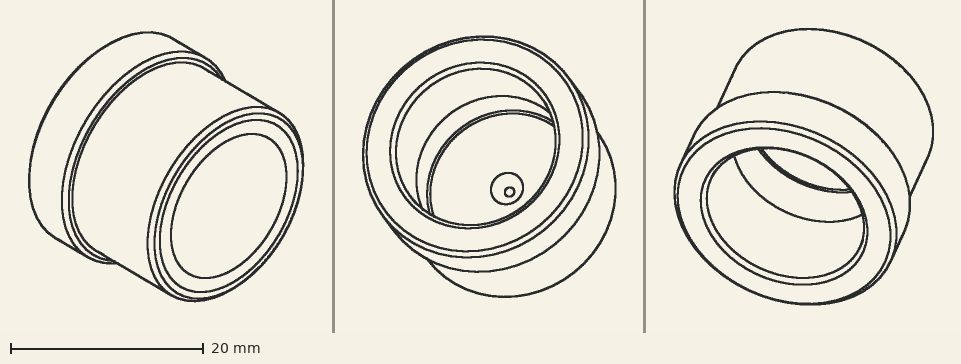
import cadquery as cq

total_length = 18.0
flange_radius = 12.0
flange_length = 6.0
spigot_radius = 11.0
edge_chamfer = 0.5

bore_radius = 8.5
liner_start = 10.0
liner_radius = (bore_radius + spigot_radius) / 2

floor_depth = 15.0
plug_radius = 8.15
recess_mouth_radius = 1.7
recess_bottom_radius = 0.5
recess_depth = recess_mouth_radius - recess_bottom_radius


def revolve_about_x(points):
    """Revolve an outline of (axial position, radius) points about the X axis."""
    return cq.Workplane("XY").polyline(points).close().revolve(360, (0, 0, 0), (1, 0, 0))


def make_housing():
    """Flanged sleeve with a bore that widens at the back to hold the liner."""
    return revolve_about_x([
        (0, bore_radius + edge_chamfer),
        (0, flange_radius - edge_chamfer),
        (edge_chamfer, flange_radius),
        (flange_length - edge_chamfer, flange_radius),
        (flange_length, flange_radius - edge_chamfer),
        (flange_length, spigot_radius),
        (total_length - edge_chamfer, spigot_radius),
        (total_length, spigot_radius - edge_chamfer),
        (total_length, liner_radius),
        (liner_start, liner_radius),
        (liner_start, bore_radius),
        (edge_chamfer, bore_radius),
    ])


def make_liner():
    """Sleeve flush with the housing bore, with a narrow inner lip around the plug."""
    return revolve_about_x([
        (liner_start, bore_radius),
        (liner_start, liner_radius),
        (total_length, liner_radius),
        (total_length, plug_radius),
        (floor_depth, plug_radius),
        (floor_depth, bore_radius),
    ])


def make_plug():
    """Disc inside the liner lip, with a flat-bottomed conical recess in its inner face."""
    return revolve_about_x([
        (floor_depth + recess_depth, 0),
        (floor_depth + recess_depth, recess_bottom_radius),
        (floor_depth, recess_mouth_radius),
        (floor_depth, plug_radius),
        (total_length, plug_radius),
        (total_length, 0),
    ])


housing = make_housing()
liner = make_liner()
plug = make_plug()

result = cq.Compound.makeCompound([housing.val(), liner.val(), plug.val()])